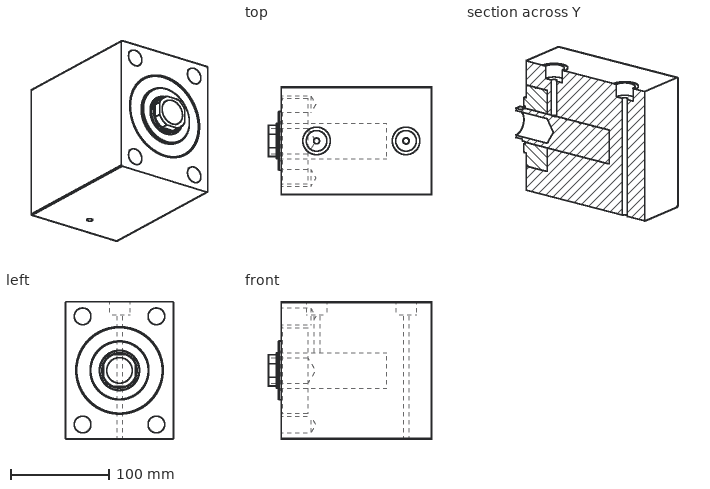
import cadquery as cq
import math


face_x = 13.0
block_length = 153.0
block_width = 110.0
block_height = 140.0
edge_chamfer = 1.0

mount_diameter = 17.0
mount_depth = 30.0
mount_spacing_y = 75.0
mount_spacing_z = 110.0
drill_angle = 118.0

port_xs = (face_x + 36.0, face_x + 127.0)
spot_diameter = 28.0
spot_depth = 0.2
port_diameter = 21.0
port_depth = 13.5
oilway_diameter = 6.0

gland_diameter = 87.0
gland_end_x = 40.0
gland_seat_chamfer = 1.0
collar_diameter = 60.0
collar_front_x = 10.0
collar_chamfer = 0.8
wiper_diameter = 40.0
wiper_depth = 1.5
wiper_step_diameter = 41.0
wiper_step_depth = 0.5

rod_diameter = 36.0
rod_shoulder_x = 8.0
rod_chamfer = 0.5
rod_end_x = 120.0
tip_diameter = 34.8
tip_across_flats = 32.0
rod_hole_diameter = 26.0
rod_hole_depth = 40.0


def cylinder_x(start_x, end_x, diameter):
    """Cylinder along the X axis between two X positions."""
    return cq.Workplane("YZ", origin=(start_x, 0, 0)).circle(diameter / 2).extrude(end_x - start_x)


def mouth_chamfer_x(start_x, diameter, size):
    """Cutter for a 45-degree chamfer around the front mouth of a bore along X."""
    radius = diameter / 2
    cone = cq.Solid.makeCone(radius + size, radius, size, cq.Vector(start_x, 0, 0), cq.Vector(1, 0, 0))
    return cq.Workplane(obj=cone)


def drilled_hole_x(start_x, depth, diameter, y=0.0, z=0.0):
    """Cutter for a blind hole along +X whose full-diameter depth ends in a drill-point cone."""
    radius = diameter / 2
    point_length = radius / math.tan(math.radians(drill_angle / 2))
    profile = (
        cq.Workplane("XY")
        .moveTo(start_x, 0)
        .lineTo(start_x, radius)
        .lineTo(start_x + depth, radius)
        .lineTo(start_x + depth + point_length, 0)
        .close()
    )
    return profile.revolve(360, (0, 0, 0), (1, 0, 0)).translate((0, y, z))


def cylinder_down(x, top_z, depth, diameter):
    """Cylinder running down from top_z at the given X."""
    return cq.Workplane("XY", origin=(x, 0, top_z)).circle(diameter / 2).extrude(-depth)


def make_rod():
    shaft = cylinder_x(rod_shoulder_x, rod_end_x, rod_diameter).faces("<X").chamfer(rod_chamfer)
    flats = cq.Workplane("YZ").rect(tip_across_flats, tip_across_flats).extrude(rod_shoulder_x)
    tip = cylinder_x(0, rod_shoulder_x, tip_diameter).intersect(flats)
    return shaft.union(tip).cut(drilled_hole_x(0, rod_hole_depth, rod_hole_diameter))


def make_gland():
    plug = cylinder_x(face_x, gland_end_x, gland_diameter)
    collar = cylinder_x(collar_front_x, face_x, collar_diameter).faces("<X").chamfer(collar_chamfer)
    rod_bore = cylinder_x(collar_front_x, gland_end_x, rod_diameter)
    wiper_recess = cylinder_x(collar_front_x, collar_front_x + wiper_depth, wiper_diameter)
    wiper_step = cylinder_x(collar_front_x, collar_front_x + wiper_step_depth, wiper_step_diameter)
    return plug.union(collar).cut(rod_bore).cut(wiper_recess).cut(wiper_step)


def make_housing():
    top_z = block_height / 2
    block = (
        cq.Workplane("YZ", origin=(face_x, 0, 0))
        .rect(block_width, block_height)
        .extrude(block_length)
        .edges("|X")
        .chamfer(edge_chamfer)
    )

    block = block.cut(cylinder_x(face_x, gland_end_x, gland_diameter))
    block = block.cut(mouth_chamfer_x(face_x, gland_diameter, gland_seat_chamfer))
    block = block.cut(cylinder_x(gland_end_x, rod_end_x, rod_diameter))

    for y in (-mount_spacing_y / 2, mount_spacing_y / 2):
        for z in (-mount_spacing_z / 2, mount_spacing_z / 2):
            block = block.cut(drilled_hole_x(face_x, mount_depth, mount_diameter, y, z))

    for x, oilway_depth in zip(port_xs, (top_z, block_height)):
        block = block.cut(cylinder_down(x, top_z, spot_depth, spot_diameter))
        block = block.cut(cylinder_down(x, top_z, port_depth, port_diameter))
        block = block.cut(cylinder_down(x, top_z, oilway_depth, oilway_diameter))
    return block


housing = make_housing()
gland = make_gland()
rod = make_rod()

result = cq.Compound.makeCompound([housing.val(), gland.val(), rod.val()])